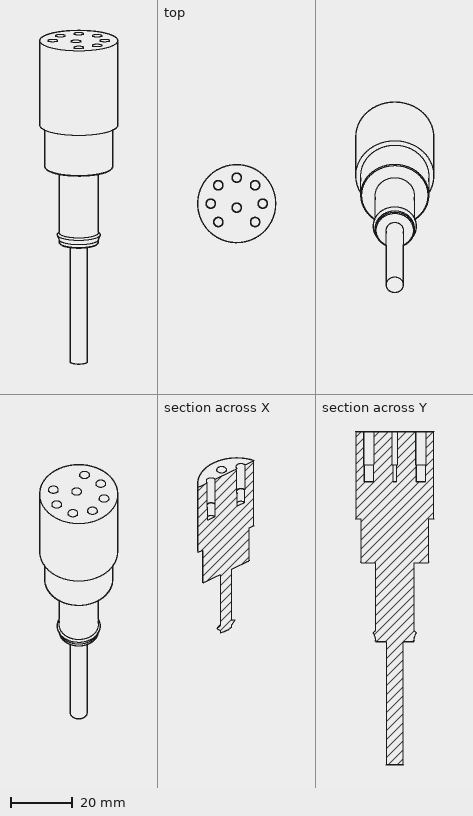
import cadquery as cq
import math

total_height = 107.8

head_diameter = 25.3
collar_diameter = 22.1
sleeve_diameter = 12.7
ridge_diameter = 14.0
cable_diameter = 5.6

head_bottom = 79.5
collar_bottom = 65.2
ridge_top = 43.3
ridge_crest = 42.7
ridge_bottom = 41.1
sleeve_bottom = 39.8

rim_chamfer = 0.3

socket_diameter = 3.1
socket_depth = 10.8
socket_bore_diameter = 2.8
socket_bore_depth = 16.2
socket_circle_radius = 8.4
socket_positions = 8
socket_pitch_angle = 360.0 / socket_positions
empty_position_angle = 270.0
inner_socket_y = -1.3


def make_body():
    """Revolve the half outline (radius, height) of the stepped body about Z."""
    head_radius = head_diameter / 2
    collar_radius = collar_diameter / 2
    sleeve_radius = sleeve_diameter / 2
    ridge_radius = ridge_diameter / 2
    cable_radius = cable_diameter / 2
    outline = [
        (0, 0),
        (cable_radius, 0),
        (cable_radius, sleeve_bottom),
        (sleeve_radius - rim_chamfer, sleeve_bottom),
        (sleeve_radius, sleeve_bottom + rim_chamfer),
        (sleeve_radius, ridge_bottom),
        (ridge_radius, ridge_crest),
        (sleeve_radius, ridge_top),
        (sleeve_radius, collar_bottom),
        (collar_radius - rim_chamfer, collar_bottom),
        (collar_radius, collar_bottom + rim_chamfer),
        (collar_radius, head_bottom),
        (head_radius, head_bottom),
        (head_radius, total_height),
        (0, total_height),
    ]
    return cq.Workplane("XZ").polyline(outline).close().revolve(360, (0, 0), (0, 1))


def make_sockets():
    """Seven stepped sockets on a circle, one of its eight places left empty, plus one near the axis."""
    first_angle = empty_position_angle + socket_pitch_angle
    angles = [math.radians(first_angle + i * socket_pitch_angle) for i in range(socket_positions - 1)]
    centres = [(socket_circle_radius * math.cos(a), socket_circle_radius * math.sin(a)) for a in angles]
    centres.append((0, inner_socket_y))
    socket_layout = cq.Workplane("XY", origin=(0, 0, total_height)).pushPoints(centres)
    mouths = socket_layout.circle(socket_diameter / 2).extrude(-socket_depth)
    bores = socket_layout.circle(socket_bore_diameter / 2).extrude(-socket_bore_depth)
    return mouths.union(bores)


result = make_body().cut(make_sockets())